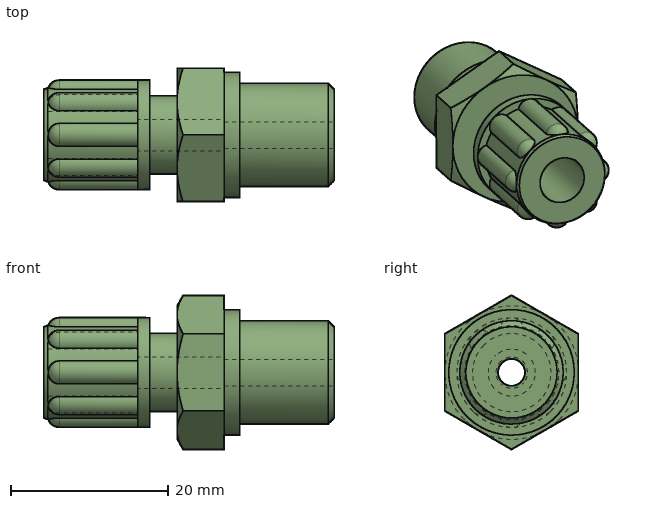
import cadquery as cq
import math

flange_start = 12.0
flange_end = 13.5
hex_start = 17.0
hex_end = 22.98
collar_end = 24.98
total_length = 37.0

grip_diameter = 12.0
flange_diameter = 14.0
neck_diameter = 10.0
hex_across_corners = 19.65
collar_diameter = 16.0
spigot_diameter = 13.17

grip_chamfer_length = 0.48
grip_chamfer_depth = 0.2
spigot_chamfer = 0.78
hex_chamfer_angle = 30.0

rib_count = 8
rib_diameter = 3.0
rib_radius = rib_diameter / 2
rib_tip_x = 0.48

tube_socket_diameter = 6.0
tube_socket_depth = flange_start
inner_step_diameter = 4.0
inner_step_depth = hex_end
bore_diameter = 3.4


def cylinder(diameter, start, end):
    """Solid cylinder on the X axis between two stations."""
    return cq.Workplane("YZ", origin=(start, 0, 0)).circle(diameter / 2).extrude(end - start)


def revolved_body():
    """Turned outline of the grip, flange, neck, collar and spigot."""
    grip_radius = grip_diameter / 2
    flange_radius = flange_diameter / 2
    neck_radius = neck_diameter / 2
    collar_radius = collar_diameter / 2
    spigot_radius = spigot_diameter / 2
    outline = [
        (0, 0),
        (0, grip_radius - grip_chamfer_depth),
        (grip_chamfer_length, grip_radius),
        (flange_start, grip_radius),
        (flange_start, flange_radius),
        (flange_end, flange_radius),
        (flange_end, neck_radius),
        (hex_end, neck_radius),
        (hex_end, collar_radius),
        (collar_end, collar_radius),
        (collar_end, spigot_radius),
        (total_length - spigot_chamfer, spigot_radius),
        (total_length, spigot_radius - spigot_chamfer),
        (total_length, 0),
    ]
    return cq.Workplane("XY").polyline(outline).close().revolve(360, (0, 0, 0), (1, 0, 0))


def hexagon():
    """Hexagon with corners at +Z and -Z, and a conical chamfer facing the nut."""
    prism = (
        cq.Workplane("YZ", origin=(hex_start, 0, 0))
        .transformed(rotate=(0, 0, 90))
        .polygon(6, hex_across_corners)
        .extrude(hex_end - hex_start)
    )
    inner_radius = hex_across_corners / 2 * math.cos(math.radians(30))
    outer_radius = hex_across_corners
    cone_length = (outer_radius - inner_radius) * math.tan(math.radians(hex_chamfer_angle))
    envelope = (
        cq.Workplane("XY")
        .moveTo(hex_start, 0)
        .lineTo(hex_start, inner_radius)
        .lineTo(hex_start + cone_length, outer_radius)
        .lineTo(hex_end, outer_radius)
        .lineTo(hex_end, 0)
        .close()
        .revolve(360, (0, 0, 0), (1, 0, 0))
    )
    return prism.intersect(envelope)


def grip_rib(angle):
    """Round rib with a spherical tip, level with the flange at its crest."""
    centre_x = rib_tip_x + rib_radius
    centre_z = flange_diameter / 2 - rib_radius
    rod = (
        cq.Workplane("YZ", origin=(centre_x, 0, centre_z))
        .circle(rib_radius)
        .extrude(flange_start - centre_x)
    )
    tip = cq.Workplane("XY").sphere(rib_radius).translate((centre_x, 0, centre_z))
    return rod.union(tip).rotate((0, 0, 0), (1, 0, 0), angle)


result = revolved_body().union(hexagon())
for index in range(rib_count):
    result = result.union(grip_rib(index * 360 / rib_count))

result = (
    result
    .cut(cylinder(tube_socket_diameter, 0, tube_socket_depth))
    .cut(cylinder(inner_step_diameter, 0, inner_step_depth))
    .cut(cylinder(bore_diameter, 0, total_length))
)